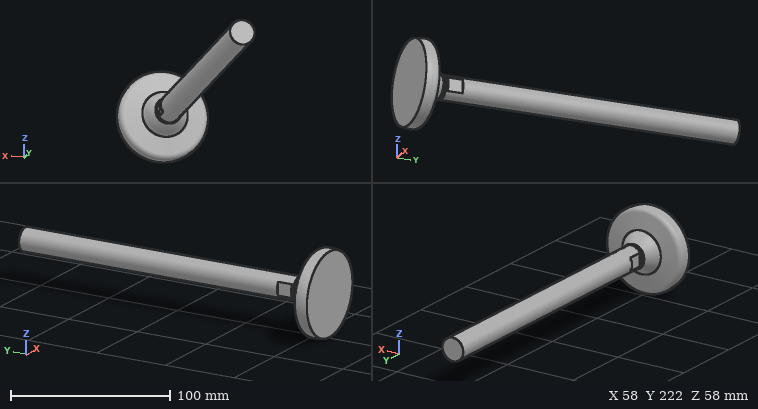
import cadquery as cq

total_length = 222.0
foot_diameter = 58.0
rod_diameter = 16.0

base_diameter = 56.8
band_bottom = 4.0
band_top = 6.7
rim_radius = 26.0
rim_height = 10.0
collar_radius = 14.7
collar_bottom = 11.5
dome_radius = 13.0
dome_bottom = 13.5
dome_bulge_radius = 11.0
dome_bulge_height = 16.9
neck_radius = 7.8
neck_height = 20.2
lip_radius = 8.5
foot_height = 20.9

tip_radius = 6.5
taper_end = 22.2
flats_start = 23.5
flats_length = 10.2
across_flats = 13.0


def revolve_about_y(profile):
    """Turn a closed half profile, given as radius and height, about the Y axis."""
    return profile.close().revolve(360, (0, 0, 0), (0, 1, 0))


def make_foot():
    """Round foot with a drafted edge, sloping top, domed hub and flared lip."""
    profile = (
        cq.Workplane("XY")
        .moveTo(0, foot_height)
        .lineTo(lip_radius, foot_height)
        .lineTo(neck_radius, neck_height)
        .threePointArc((dome_bulge_radius, dome_bulge_height), (dome_radius, dome_bottom))
        .lineTo(collar_radius, collar_bottom)
        .lineTo(rim_radius, rim_height)
        .tangentArcPoint((foot_diameter / 2, band_top), relative=False)
        .lineTo(foot_diameter / 2, band_bottom)
        .lineTo(base_diameter / 2, 0)
        .lineTo(0, 0)
    )
    return revolve_about_y(profile)


def make_rod():
    """Plain round rod that stands on the foot, with flats on its -X and +X sides."""
    rod_radius = rod_diameter / 2
    profile = (
        cq.Workplane("XY")
        .moveTo(0, foot_height)
        .lineTo(tip_radius, foot_height)
        .lineTo(rod_radius, taper_end)
        .lineTo(rod_radius, total_length)
        .lineTo(0, total_length)
    )
    rod = revolve_about_y(profile)
    for side in (-1, 1):
        cutter_center = side * (across_flats + rod_diameter) / 2
        flat_cutter = cq.Workplane("XY").box(rod_diameter, flats_length, rod_diameter).translate(
            (cutter_center, flats_start + flats_length / 2, 0)
        )
        rod = rod.cut(flat_cutter)
    return rod


foot = make_foot()
rod = make_rod()

result = cq.Compound.makeCompound([foot.val(), rod.val()])